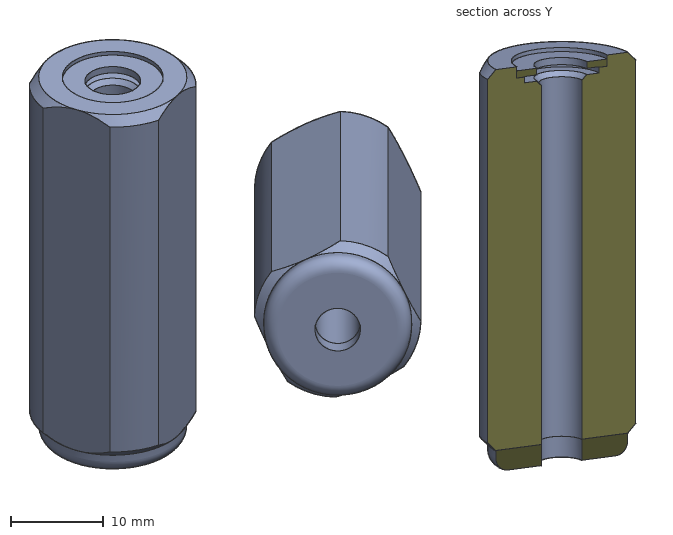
import cadquery as cq

total_height = 45.0
corner_diameter = 18.0
across_flats = 16.0
flat_angle = 45.0
edge_chamfer = 1.0

foot_height = 2.35
foot_diameter = across_flats
foot_fillet = 1.5

washer_diameter = 10.9
washer_hole_diameter = 6.0
washer_thickness = 0.8
washer_recess = 0.45

relief_diameter = 9.0
relief_depth = 0.65
bore_diameter = 4.9
bore_countersink_diameter = 6.0

housing_height = total_height - foot_height
washer_base = total_height - washer_recess - washer_thickness
relief_base = washer_base - relief_depth


def cylinder(diameter, base, height):
    """Upright cylinder on the Z axis."""
    return cq.Workplane("XY").workplane(offset=base).circle(diameter / 2).extrude(height)


def make_housing():
    """Chamfered round bar with four flats, a stepped washer seat and a through bore."""
    bar = cylinder(corner_diameter, foot_height, housing_height)
    bar = bar.faces("<Z or >Z").chamfer(edge_chamfer)
    square = (
        cq.Workplane("XY")
        .workplane(offset=foot_height)
        .transformed(rotate=(0, 0, flat_angle))
        .rect(across_flats, across_flats)
        .extrude(housing_height)
    )
    housing = bar.intersect(square)

    housing = housing.cut(cylinder(washer_diameter, washer_base, total_height - washer_base))
    housing = housing.cut(cylinder(relief_diameter, relief_base, relief_depth))

    countersink_depth = (bore_countersink_diameter - bore_diameter) / 2
    bore = cylinder(bore_diameter, foot_height, relief_base - foot_height)
    countersink = (
        cq.Workplane("XY")
        .workplane(offset=relief_base)
        .circle(bore_countersink_diameter / 2)
        .workplane(offset=-countersink_depth)
        .circle(bore_diameter / 2)
        .loft(ruled=True)
    )
    return housing.cut(bore).cut(countersink)


def make_washer():
    """Flat ring resting on the seat in the top of the housing."""
    washer = cylinder(washer_diameter, washer_base, washer_thickness)
    return washer.cut(cylinder(washer_hole_diameter, washer_base, washer_thickness))


def make_foot():
    """Disc with a rounded lower edge that continues the housing bore."""
    foot = cylinder(foot_diameter, 0, foot_height).faces("<Z").edges().fillet(foot_fillet)
    return foot.cut(cylinder(bore_diameter, 0, foot_height))


housing = make_housing()
washer = make_washer()
foot = make_foot()

result = cq.Compound.makeCompound([housing.val(), washer.val(), foot.val()])